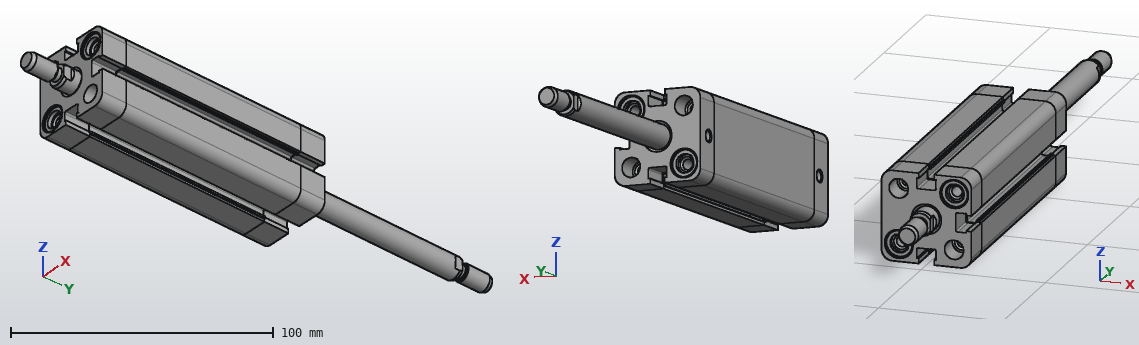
import cadquery as cq

overall_length = 232.0
body_size = 36.2
corner_radius = 4.5
front_face = -93.3
body_length = 112.0
cap_length = 12.0

rod_diameter = 10.0
rod_chamfer = 0.5
rod_chamfer_length = 1.5
thread_diameter = 8.0
thread_length = 12.5
relief_diameter = 5.8
relief_length = 3.0
relief_collar_diameter = 6.7
relief_collar_length = 0.7
tip_diameter = 6.5
tip_length = 1.9
flat_width = 8.0
flat_length = 3.7
flat_end_slope_length = 0.7

slot_mouth_width = 6.3
slot_lip = 2.0
slot_corner_radius = 0.7
cap_groove_width = 7.7
cap_slot_depth = 6.3
barrel_neck_width = 5.0
barrel_mouth_depth = 1.2
barrel_groove_width = 7.0
barrel_slot_depth = 5.8

rod_seat_diameter = 12.0
rod_seat_depth = 1.0

corner_offset = 11.1
plain_steps = ((7.7, 9.3),)
screw_entry_diameter = 5.8
screw_hole_diameter = 4.2
recess_steps = ((11.4, 0.5), (10.5, 1.0), (7.5, 2.8))

port_mouth_diameter = 5.0
port_diameter = 4.2
port_depth = 7.0
port_inset = 7.5

half_size = body_size / 2
rear_face = front_face + body_length
barrel_start = front_face + cap_length
barrel_end = rear_face - cap_length
front_tip = -overall_length / 2
rear_tip = overall_length / 2
end_length = thread_length + relief_length
front_shoulder = front_tip + end_length
rear_shoulder = rear_tip - end_length


def cylinder(diameter, length, y, x=0, z=0):
    """Cylinder along +Y that starts at y."""
    return cq.Workplane("XZ", origin=(x, y, z)).circle(diameter / 2).extrude(-length)


def cone(start_diameter, end_diameter, length, y, x=0, z=0):
    """Truncated cone along +Y that starts at y."""
    solid = cq.Solid.makeCone(
        start_diameter / 2, end_diameter / 2, length, cq.Vector(x, y, z), cq.Vector(0, 1, 0)
    )
    return cq.Workplane(solid)


def channel(width, upper, lower, y, length):
    """Straight channel cutter along Y between two heights below the top of the body."""
    plane = cq.Workplane("XZ", origin=(0, y, half_size - (upper + lower) / 2))
    return plane.rect(width, lower - upper).extrude(-length)


def groove(width, depth, y, length):
    """Wide part of a T-slot, below the lips, with rounded floor corners."""
    return channel(width, slot_lip, depth, y, length).edges("|Y and <Z").fillet(slot_corner_radius)


def slotted_block(cutter, y, length):
    """Rounded square length of the body with slots in its top, +X and bottom faces."""
    block = (
        cq.Workplane("XZ", origin=(0, y, 0))
        .rect(body_size, body_size)
        .extrude(-length)
        .edges("|Y")
        .fillet(corner_radius)
    )
    for angle in (0, 90, 180):
        block = block.cut(cutter.rotate((0, 0, 0), (0, 1, 0), angle))
    return block.cut(cylinder(rod_diameter, length, y))


def corner_hole(steps, x, z):
    """Screw hole with a conical entry, at the bottom of round steps of growing depth."""
    floor = front_face + steps[-1][1]
    entry_depth = (screw_entry_diameter - screw_hole_diameter) / 2
    hole = cylinder(screw_hole_diameter, cap_length, front_face, x, z)
    hole = hole.union(cone(screw_entry_diameter, screw_hole_diameter, entry_depth, floor, x, z))
    for diameter, depth in steps:
        hole = hole.union(cylinder(diameter, depth, front_face, x, z))
    return hole


def port():
    """Countersunk port in the -X face."""
    sink = (port_mouth_diameter - port_diameter) / 2
    plane = cq.Workplane("YZ", origin=(-half_size, front_face + port_inset, 0))
    drilling = plane.circle(port_diameter / 2).extrude(port_depth)
    mouth = cq.Solid.makeCone(
        port_mouth_diameter / 2,
        port_diameter / 2,
        sink,
        cq.Vector(-half_size, front_face + port_inset, 0),
        cq.Vector(1, 0, 0),
    )
    return drilling.union(cq.Workplane(mouth))


def make_front_cap():
    """End cap with slots, a countersunk rod opening, corner holes and a port."""
    mouth = channel(slot_mouth_width, 0, slot_lip, front_face, cap_length)
    slot = mouth.union(groove(cap_groove_width, cap_slot_depth, front_face, cap_length))
    cap = slotted_block(slot, front_face, cap_length)
    cap = cap.cut(cone(rod_seat_diameter, rod_diameter, rod_seat_depth, front_face))
    for side in (-1, 1):
        place = side * corner_offset
        cap = cap.cut(corner_hole(recess_steps, place, place))
        cap = cap.cut(corner_hole(plain_steps, place, -place))
    return cap.cut(port())


def make_rear_cap():
    """The front cap mirrored to the far end of the body."""
    middle = (front_face + rear_face) / 2
    return make_front_cap().mirror("XZ", (0, middle, 0))


def make_barrel():
    """Profile between the caps, with a stepped lip along each slot."""
    length = barrel_end - barrel_start
    mouth = channel(slot_mouth_width, 0, barrel_mouth_depth, barrel_start, length)
    neck = channel(barrel_neck_width, barrel_mouth_depth, slot_lip, barrel_start, length)
    slot = mouth.union(neck).union(
        groove(barrel_groove_width, barrel_slot_depth, barrel_start, length)
    )
    return slotted_block(slot, barrel_start, length)


def flat_cutter(side):
    """Cutter for one wrench flat near the front shoulder, with a sloping inner end."""
    flat_x = side * flat_width / 2
    edge_x = side * rod_diameter / 2
    flat_end = front_shoulder + flat_length
    outline = [
        (flat_x, front_shoulder),
        (flat_x, flat_end),
        (edge_x, flat_end + flat_end_slope_length),
        (edge_x, front_shoulder),
    ]
    return cq.Workplane("XY").polyline(outline).close().extrude(rod_diameter / 2, both=True)


def make_rod():
    """Through rod with a threaded stud and two wrench flats at each end."""
    rod_r = rod_diameter / 2
    collar_end = rear_tip - thread_length - relief_collar_length
    half_profile = [
        (tip_diameter / 2, rear_tip),
        (thread_diameter / 2, rear_tip - tip_length),
        (thread_diameter / 2, rear_tip - thread_length),
        (relief_collar_diameter / 2, rear_tip - thread_length),
        (relief_collar_diameter / 2, collar_end),
        (relief_diameter / 2, collar_end),
        (relief_diameter / 2, rear_shoulder),
        (rod_r - rod_chamfer, rear_shoulder),
        (rod_r, rear_shoulder - rod_chamfer_length),
    ]
    mirrored_profile = [(r, -y) for r, y in reversed(half_profile)]
    profile = [(0, rear_tip)] + half_profile + mirrored_profile + [(0, front_tip)]
    rod = cq.Workplane("XY").polyline(profile).close().revolve(360, (0, 0, 0), (0, 1, 0))
    for side in (-1, 1):
        cutter = flat_cutter(side)
        rod = rod.cut(cutter).cut(cutter.mirror("XZ"))
    return rod


front_cap = make_front_cap()
rear_cap = make_rear_cap()
barrel = make_barrel()
rod = make_rod()

result = cq.Compound.makeCompound([front_cap.val(), rear_cap.val(), barrel.val(), rod.val()])